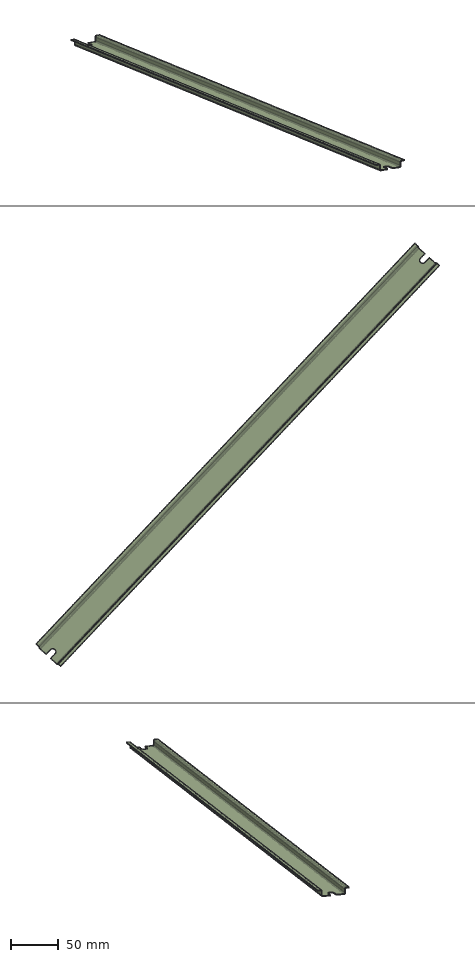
import cadquery as cq

length = 583.0
width = 35.0
height = 7.5

thickness = 1.0
channel_width = 27.0
inner_radius = 0.8
outer_radius = inner_radius + thickness

notch_width = 6.5
notch_depth = 10.0


def box_profile(span, bottom, top):
    """Rail-long bar, centred on Y, between two heights."""
    return cq.Workplane("XY").box(length, span, top - bottom).translate((0, 0, (bottom + top) / 2))


def channel():
    """U-shaped trough with rounded bends at the floor."""
    outside = box_profile(channel_width, 0, height).edges("|X and <Z").fillet(outer_radius)
    inside_width = channel_width - 2 * thickness
    inside = box_profile(inside_width, thickness, height).edges("|X and <Z").fillet(inner_radius)
    return outside.cut(inside)


def flange(side):
    """Outward lip along the top of one wall; side is -1 or 1."""
    wall_inner = channel_width / 2 - thickness
    lip_width = width / 2 - wall_inner
    lip = box_profile(lip_width, height - thickness, height)
    return lip.translate((0, side * (wall_inner + lip_width / 2), 0))


def bend_fillets(body):
    """Round the inner and outer faces of the two wall-to-flange bends."""
    wall_outer = channel_width / 2
    wall_inner = wall_outer - thickness
    for side in (-1, 1):
        body = body.edges(cq.NearestToPointSelector((0, side * wall_inner, height))).fillet(outer_radius)
        body = body.edges(
            cq.NearestToPointSelector((0, side * wall_outer, height - thickness))
        ).fillet(inner_radius)
    return body


def end_notch(side):
    """Cutter for the notch open at one end; side is -1 or 1."""
    notch = cq.Workplane("XY").slot2D(2 * notch_depth, notch_width).extrude(height)
    return notch.translate((side * length / 2, 0, 0))


rail = channel()
for wall in (-1, 1):
    rail = rail.union(flange(wall))
rail = bend_fillets(rail)
for end in (-1, 1):
    rail = rail.cut(end_notch(end))

result = rail